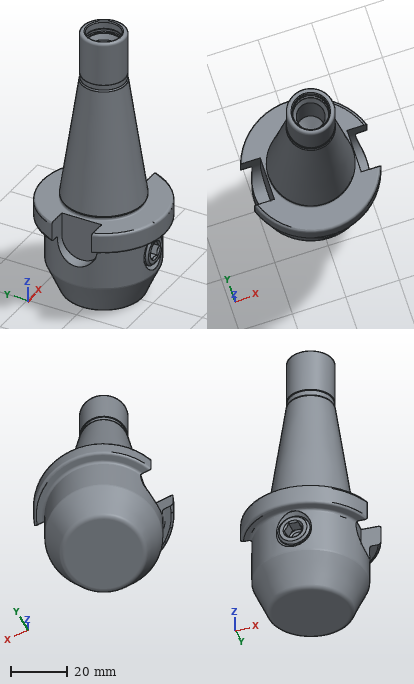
import cadquery as cq
import math


gauge_diameter = 31.75
gauge_radius = gauge_diameter / 2
taper_ratio = 7 / 24
taper_top = 48.4
shank_top = 68.4
shank_radius = 8.7
shank_fillet = 1.0
neck_groove_radius = 8.45
neck_groove_top = 51.2
taper_end_chamfer = 0.6
neck_groove_bottom = taper_top + taper_end_chamfer
groove_chamfer = shank_radius - neck_groove_radius

taper_bottom = 0.35
relief_top = -0.3
relief_radius = 15.5
relief_fillet = 0.6
flange_radius = 25.0
flange_top = -1.6
flange_thickness = 8.0
flange_bottom = flange_top - flange_thickness
flange_fillet = 1.0

body_radius = 21.0
body_fillet = 1.0
nose_bottom = -40.0
nose_length = 13.0
nose_top = nose_bottom + nose_length
nose_half_angle = 24.0
nose_shoulder_fillet = 1.5
nose_tip_fillet = 2.0

slot_width = 16.1
slot_depth = 17.35
slot_flat_distance = 16.25

bore_mouth_radius = 7.0
bore_radius = 6.6
bore_groove_radius = 7.1
bore_groove_start = 2.9
bore_groove_slope_end = 3.6
bore_groove_end = 4.45
bore_lip_radius = 6.4
bore_lip_end = 4.9
thread_start = 6.8
thread_radius = 5.1
thread_depth = 24.0
drill_half_angle = 59.0

screw_radius = 6.0
screw_length = 10.0
screw_height = 22.5
screw_z = nose_bottom + screw_height
screw_face = body_radius
screw_chamfer = 0.85
countersink_radius = 7.6
hexagon_sides = 6
socket_across_flats = 6.0
socket_mouth_radius = 3.7
socket_depth = 5.0
socket_floor_radius = 2.2
socket_cone_depth = 0.5

edge_tolerance = 0.01


def revolve_z(points):
    """Solid of revolution about Z from (radius, z) points."""
    return cq.Workplane("XZ").polyline(points).close().revolve(360, (0, 0), (0, 1))


def cone_along_y(start, end, start_radius, end_radius):
    """Round solid on the screw axis; start and end are distances from the holder axis towards -Y."""
    profile = [(0, -start), (start_radius, -start), (end_radius, -end), (0, -end)]
    solid = cq.Workplane("XY").polyline(profile).close().revolve(360, (0, 0), (0, 1))
    return solid.translate((0, 0, screw_z))


def round_edge(part, z, radius, fillet):
    """Fillet the circular edge with the given height and radius."""
    circles = [
        edge
        for edge in part.edges("%CIRCLE").vals()
        if abs(edge.Center().z - z) < edge_tolerance and abs(edge.radius() - radius) < edge_tolerance
    ]
    return part.newObject(circles).fillet(fillet)


def make_holder():
    """Turned outside form of the holder with its fillets."""
    taper_top_radius = gauge_radius - taper_top * taper_ratio / 2
    taper_bottom_radius = gauge_radius - taper_bottom * taper_ratio / 2
    tip_radius = body_radius - nose_length * math.tan(math.radians(nose_half_angle))
    holder = revolve_z([
        (0, nose_bottom),
        (tip_radius, nose_bottom),
        (body_radius, nose_top),
        (body_radius, flange_bottom),
        (flange_radius, flange_bottom),
        (flange_radius, flange_top),
        (relief_radius, flange_top),
        (relief_radius, relief_top),
        (taper_bottom_radius, taper_bottom),
        (taper_top_radius, taper_top),
        (neck_groove_radius, neck_groove_bottom),
        (neck_groove_radius, neck_groove_top - groove_chamfer),
        (shank_radius, neck_groove_top),
        (shank_radius, shank_top),
        (0, shank_top),
    ])
    holder = round_edge(holder, nose_bottom, tip_radius, nose_tip_fillet)
    holder = round_edge(holder, nose_top, body_radius, nose_shoulder_fillet)
    holder = round_edge(holder, flange_bottom, body_radius, body_fillet)
    holder = round_edge(holder, flange_bottom, flange_radius, flange_fillet)
    holder = round_edge(holder, flange_top, flange_radius, flange_fillet)
    holder = round_edge(holder, flange_top, relief_radius, relief_fillet)
    return round_edge(holder, shank_top, shank_radius, shank_fillet)


def make_drive_slot(side):
    """Round-bottomed slot cutter on the +X (side = 1) or -X (side = -1) face."""
    half_width = slot_width / 2
    arc_z = flange_top - slot_depth + half_width
    length = flange_radius - slot_flat_distance
    cutter = (
        cq.Workplane("YZ")
        .moveTo(-half_width, flange_top)
        .lineTo(-half_width, arc_z)
        .threePointArc((0, arc_z - half_width), (half_width, arc_z))
        .lineTo(half_width, flange_top)
        .close()
        .extrude(side * length)
    )
    return cutter.translate((side * slot_flat_distance, 0, 0))


def make_bore():
    """Draw-bar bore cutter: chamfered mouth, undercut groove, lip and drilled thread hole."""
    thread_bottom = shank_top - thread_depth
    drill_tip = thread_bottom - thread_radius / math.tan(math.radians(drill_half_angle))
    mouth_depth = bore_mouth_radius - bore_radius
    return revolve_z([
        (0, shank_top),
        (bore_mouth_radius, shank_top),
        (bore_radius, shank_top - mouth_depth),
        (bore_radius, shank_top - bore_groove_start),
        (bore_groove_radius, shank_top - bore_groove_slope_end),
        (bore_groove_radius, shank_top - bore_groove_end),
        (bore_lip_radius, shank_top - bore_groove_end),
        (bore_lip_radius, shank_top - bore_lip_end),
        (thread_radius, shank_top - thread_start),
        (thread_radius, thread_bottom),
        (0, drill_tip),
    ])


def make_screw_hole():
    """Countersunk hole cutter for the clamping screw."""
    cone_inner = body_radius - (countersink_radius - screw_radius)
    hole = cone_along_y(screw_face - screw_length, cone_inner, screw_radius, screw_radius)
    cone = cone_along_y(cone_inner, body_radius, screw_radius, countersink_radius)
    clearance = cone_along_y(body_radius, flange_radius, countersink_radius, countersink_radius)
    return hole.union(cone).union(clearance)


def make_screw():
    """Clamping screw with a chamfered end and a hexagon socket, flush with the body."""
    shoulder = screw_face - screw_chamfer
    screw = cone_along_y(screw_face - screw_length, shoulder, screw_radius, screw_radius)
    screw = screw.union(
        cone_along_y(shoulder, screw_face, screw_radius, screw_radius - screw_chamfer)
    )
    hex_floor = screw_face - socket_depth
    across_corners = socket_across_flats / math.cos(math.pi / hexagon_sides)
    hexagon = (
        cq.Workplane("XZ", origin=(0, -hex_floor, screw_z))
        .polygon(hexagon_sides, across_corners)
        .extrude(socket_depth)
    )
    mouth_depth = socket_mouth_radius - socket_across_flats / 2
    mouth = cone_along_y(
        screw_face - mouth_depth, screw_face, socket_across_flats / 2, socket_mouth_radius
    )
    floor_cone = cone_along_y(
        hex_floor - socket_cone_depth, hex_floor, socket_floor_radius, socket_across_flats / 2
    )
    return screw.cut(hexagon).cut(mouth).cut(floor_cone)


holder = make_holder()
for side in (-1, 1):
    holder = holder.cut(make_drive_slot(side))
holder = holder.cut(make_bore())
holder = holder.cut(make_screw_hole())
result = holder.union(make_screw())